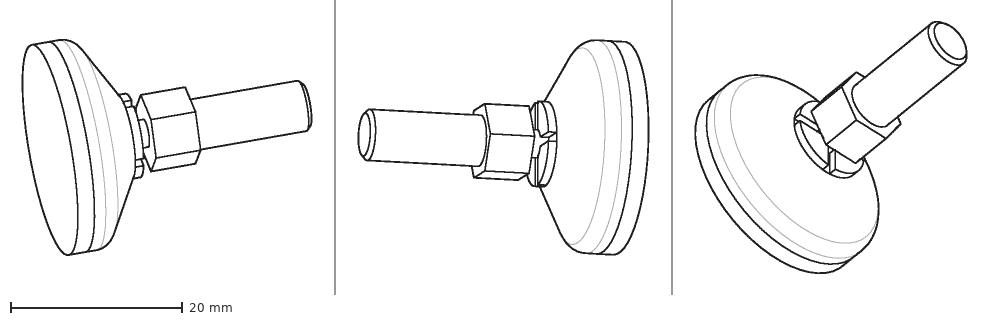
import cadquery as cq

overall_length = 31.0
foot_diameter = 25.0
foot_radius = foot_diameter / 2

pad_top = 2.0

cone_start = 4.5
shoulder_radius = 2.0
cone_top = 9.0
collar_top = 10.0
collar_radius = 5.0
slot_width = 1.1
edge_margin = 0.03

neck_radius = 1.65
hex_bottom = 11.6
hex_top = 17.0
hex_across_corners = 9.25
rod_radius = 3.0
rod_chamfer = 0.5


def revolve_about_y(points):
    """Revolve a closed outline of (Y, radius) points around the Y axis."""
    return cq.Workplane("YZ").polyline(points).close().revolve(360, (0, 0, 0), (1, 0, 0))


def cylinder(radius, start, end):
    return revolve_about_y([(start, 0), (start, radius), (end, radius), (end, 0)])


def make_pad():
    return cylinder(foot_radius, 0, pad_top)


def make_housing():
    body = revolve_about_y([
        (pad_top, 0),
        (pad_top, foot_radius),
        (cone_start, foot_radius),
        (cone_top, collar_radius),
        (collar_top, collar_radius),
        (collar_top, 0),
    ])

    shoulder_edge = cq.selectors.BoxSelector(
        (-foot_diameter, cone_start - edge_margin, -foot_diameter),
        (foot_diameter, cone_start + edge_margin, foot_diameter),
    )
    body = body.edges(shoulder_edge).fillet(shoulder_radius)

    slot_depth = collar_top - cone_top
    slot = (
        cq.Workplane("XY")
        .box(2 * collar_radius, slot_depth, slot_width)
        .translate((0, cone_top + slot_depth / 2, 0))
    )
    for angle in (0, 90):
        body = body.cut(slot.rotate((0, 0, 0), (0, 1, 0), angle))

    return body.cut(cylinder(neck_radius, pad_top, collar_top))


def make_stud():
    neck = cylinder(neck_radius, pad_top, hex_bottom)

    hexagon = (
        cq.Workplane("XZ", origin=(0, hex_bottom, 0))
        .polygon(6, hex_across_corners)
        .extrude(hex_bottom - hex_top)
    )

    rod = cylinder(rod_radius, hex_top, overall_length).faces(">Y").chamfer(rod_chamfer)
    return neck.union(hexagon).union(rod)


pad = make_pad()
housing = make_housing()
stud = make_stud()

result = cq.Compound.makeCompound([pad.solids().val(), housing.solids().val(), stud.solids().val()])